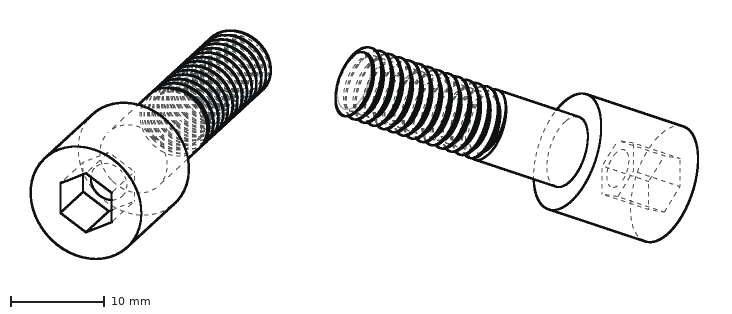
import cadquery as cq
import math


total_length = 40.0
head_length = 12.5
thread_length = 17.0
shank_length = total_length - head_length - thread_length

head_diameter = 13.0
shank_diameter = 7.87
root_diameter = 6.45

socket_across_flats = 6.0
socket_depth = 6.0
drill_diameter = 4.23
drill_point_angle = 120.0

pitch = 1.25
flank_angle = 60.0
crest_width = pitch / 8
ridge_sink = 0.05
overrun_turns = 1

axis_frame = cq.Plane(origin=(0, 0, 0), xDir=(0, 0, 1), normal=(0, 1, 0))


def cylinder(start, length, diameter):
    """Cylinder on the screw axis beginning at the given distance from the head face."""
    return cq.Workplane("XY", origin=(0, 0, start)).circle(diameter / 2).extrude(length)


def helical_solid(profile, start, height):
    """Solid swept by a polygon of (radius, axial offset) corners climbing a right-handed helix."""
    helices = [
        cq.Wire.makeHelix(pitch, height, radius, center=(0, 0, start + offset))
        for radius, offset in profile
    ]
    faces = []
    for helix, next_helix in zip(helices, helices[1:] + helices[:1]):
        faces += cq.Face.makeRuledSurface(helix, next_helix).Faces()
    start_corners = [helix.Edges()[0].startPoint() for helix in helices]
    end_corners = [helix.Edges()[-1].endPoint() for helix in helices]
    for corners in (start_corners, end_corners):
        faces.append(cq.Face.makeFromWires(cq.Wire.makePolygon(corners, close=True)))
    return cq.Workplane(cq.Solid.makeSolid(cq.Shell.makeShell(faces)))


def thread_ridge():
    """Thread ridge overrunning both ends of the thread, with a root centred on local +X at the tip."""
    turns_below_tip = math.ceil(thread_length / pitch) + overrun_turns
    start = total_length - turns_below_tip * pitch - pitch / 2
    height = (turns_below_tip + 2 * overrun_turns) * pitch
    crest_radius = shank_diameter / 2
    base_radius = root_diameter / 2 - ridge_sink
    crest_half = crest_width / 2
    base_half = crest_half + (crest_radius - base_radius) * math.tan(math.radians(flank_angle / 2))
    profile = [
        (base_radius, -base_half),
        (crest_radius, -crest_half),
        (crest_radius, crest_half),
        (base_radius, base_half),
    ]
    return helical_solid(profile, start, height)


def threaded_end():
    """Root cylinder carrying the ridge, which is trimmed flush at the shank and at the tip."""
    start = total_length - thread_length
    trimming_slab = cylinder(start, thread_length, head_diameter)
    ridge = thread_ridge().intersect(trimming_slab)
    return cylinder(start, thread_length, root_diameter).union(ridge, clean=False)


def drive_socket():
    """Hexagonal recess with two corners on the local X axis, ending in a cone."""
    across_corners = socket_across_flats / math.cos(math.pi / 6)
    hexagon = cq.Workplane("XY").polygon(6, across_corners).extrude(socket_depth)
    drill_radius = drill_diameter / 2
    cone_depth = drill_radius / math.tan(math.radians(drill_point_angle / 2))
    cone = cq.Solid.makeCone(drill_radius, 0, cone_depth, pnt=(0, 0, socket_depth))
    return hexagon.union(cq.Workplane(cone))


head = cylinder(0, head_length, head_diameter).cut(drive_socket())
shank = cylinder(head_length, shank_length, shank_diameter)
screw = head.union(shank).union(threaded_end(), clean=False)

result = cq.Workplane(screw.solids().val().moved(cq.Location(axis_frame)))